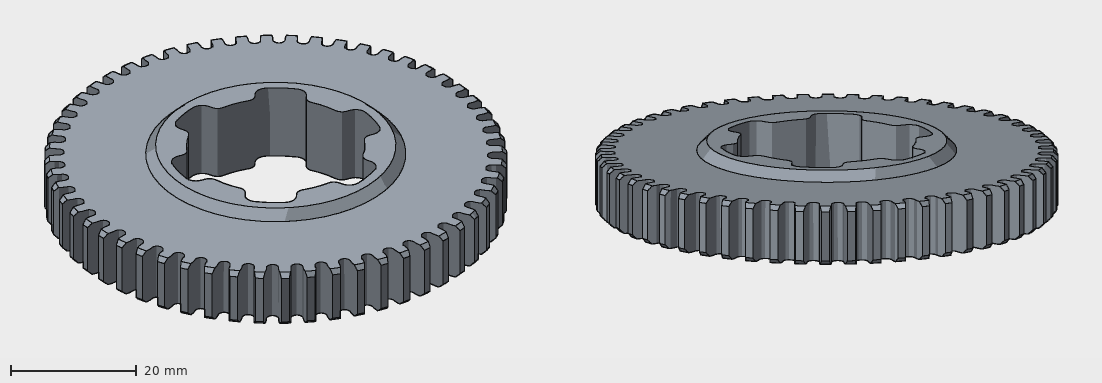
import cadquery as cq
import math

outer_size = 73.5
total_height = 12.7

tooth_count = 56
face_width = 9.55
rim_chamfer = 0.7

tooth_depth = 3.1
tip_width = 1.25
flank_middle_depth = 0.7
flank_middle_gap_width = 2.35
flank_foot_depth = 1.55
flank_foot_gap_width = 2.0
shoulder_depth = 2.3
shoulder_gap_width = 1.9

hub_radius = 19.1

slot_count = 6
bore_minor_radius = 14.2
bore_major_radius = 17.4
slot_width = 8.15
slot_corner_radius = 1.9
land_corner_radius = 1.55

tooth_pitch_angle = 360 / tooth_count
half_pitch = math.radians(tooth_pitch_angle / 2)
tip_half_angle = tip_width / outer_size
mouth_half_angle = half_pitch - tip_half_angle
tip_radius = outer_size / 2 / math.cos(mouth_half_angle)
hub_height = (total_height - face_width) / 2
collar_base_radius = hub_radius + hub_height
rim_z = face_width / 2
end_z = total_height / 2


def make_blank():
    """Turned body: chamfered rim, conical upper collar and straight lower collar."""
    chamfer_radius = tip_radius - rim_chamfer
    chamfer_z = rim_z - rim_chamfer
    profile = [
        (0, -end_z),
        (hub_radius, -end_z),
        (hub_radius, -rim_z),
        (chamfer_radius, -rim_z),
        (tip_radius, -chamfer_z),
        (tip_radius, chamfer_z),
        (chamfer_radius, rim_z),
        (collar_base_radius, rim_z),
        (hub_radius, end_z),
        (0, end_z),
    ]
    return cq.Workplane("XZ").polyline(profile).close().revolve(360, (0, 0), (0, 1))


def make_tooth_gap():
    """Cutter for the gap on the +X axis, with curved flanks, straight feet and a round bottom."""
    mouth_half = tip_radius * math.sin(mouth_half_angle)
    mouth_x = tip_radius * math.cos(mouth_half_angle)
    middle_half = flank_middle_gap_width / 2
    middle_x = tip_radius - flank_middle_depth
    foot_half = flank_foot_gap_width / 2
    foot_x = tip_radius - flank_foot_depth
    shoulder_half = shoulder_gap_width / 2
    shoulder_x = tip_radius - shoulder_depth
    root_x = tip_radius - tooth_depth
    clear_x = tip_radius + rim_chamfer
    return (
        cq.Workplane("XY", origin=(0, 0, -rim_z))
        .moveTo(clear_x, -mouth_half)
        .lineTo(mouth_x, -mouth_half)
        .threePointArc((middle_x, -middle_half), (foot_x, -foot_half))
        .lineTo(shoulder_x, -shoulder_half)
        .threePointArc((root_x, 0), (shoulder_x, shoulder_half))
        .lineTo(foot_x, foot_half)
        .threePointArc((middle_x, middle_half), (mouth_x, mouth_half))
        .lineTo(clear_x, mouth_half)
        .close()
        .extrude(face_width)
    )


def make_tooth_gaps():
    """All the tooth gaps around the rim."""
    gap = make_tooth_gap().val()
    gaps = []
    for index in range(tooth_count):
        angle = index * tooth_pitch_angle
        gaps.append(gap.rotate(cq.Vector(0, 0, 0), cq.Vector(0, 0, 1), angle))
    return gaps


def round_bore_corners(bore, corner_distance, fillet_radius):
    """Fillet the upright edges that stand at the given distance from the axis."""
    corners = []
    for edge in bore.edges("|Z").vals():
        center = edge.Center()
        if math.isclose(math.hypot(center.x, center.y), corner_distance, rel_tol=1e-4):
            corners.append(edge)
    return bore.newObject(corners).fillet(fillet_radius)


def make_splined_bore():
    """Cutter for the bore: round core, slots out to the major radius, rounded corners."""
    base = cq.Workplane("XY", origin=(0, 0, -end_z))
    bore = base.circle(bore_minor_radius).extrude(total_height)
    slot_bars = slot_count // 2
    for index in range(slot_bars):
        bar = base.rect(2 * outer_size, slot_width).extrude(total_height)
        bar = bar.rotate((0, 0, 0), (0, 0, 1), index * 360 / slot_count)
        bore = bore.union(bar)
    bore = bore.intersect(base.circle(bore_major_radius).extrude(total_height))

    bore = round_bore_corners(bore, bore_major_radius, slot_corner_radius)
    return round_bore_corners(bore, bore_minor_radius, land_corner_radius)


blank = make_blank()
toothed = cq.Workplane(blank.val().cut(*make_tooth_gaps()))
result = toothed.cut(make_splined_bore())